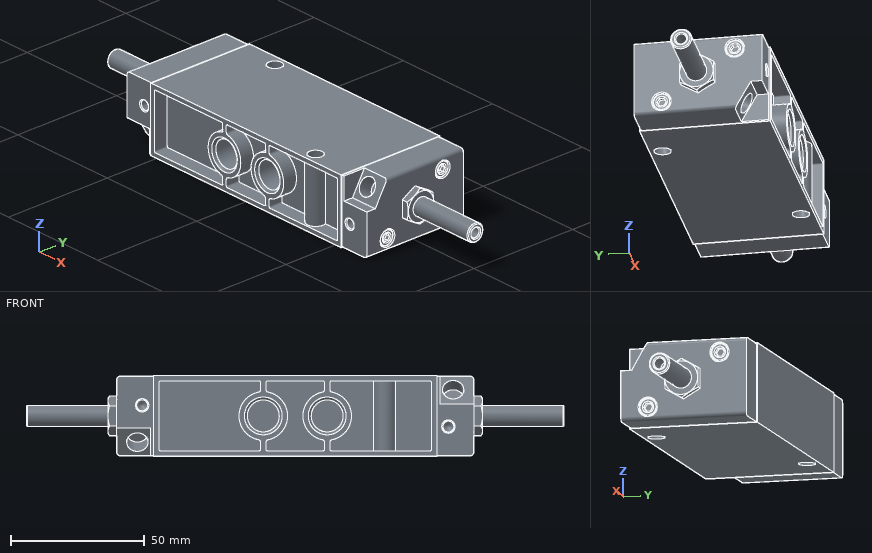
import cadquery as cq
import math

OVERALL_LENGTH = 202.0
X_DIRECTION = (1, 0, 0)
Y_DIRECTION = (0, 1, 0)
Z_DIRECTION = (0, 0, 1)

BODY_LENGTH = 106.6
BODY_WIDTH = 50.0
BODY_HEIGHT = 30.4
FRONT_FACE_Y = -BODY_WIDTH / 2

FRAME_WALL = 2.1
RECESS_DEPTH = 6.5

PORT_SPACING = 24.0
PORT_BOSS_DIAMETER = 18.24
PORT_BORE_DIAMETER = 12.0
PORT_MOUTH_DIAMETER = 14.2
PORT_DEPTH = 14.0
RIB_THICKNESS = 2.0
RECESS_CORNER_FILLET = 0.6
BOSS_RIB_FILLET = 1.0

MOUNT_HOLE_DIAMETER = 6.5
MOUNT_HOLE_X = 33.5
MOUNT_HOLE_Y = 20.0
MOUNT_COLUMN_DIAMETER = 8.2

CAP_FACE_X = 67.1
CAP_WIDTH = 49.0
CAP_HEIGHT = 30.0
CAP_EDGE_FILLET = 1.5

NOTCH_INNER_X = 54.4
NOTCH_LEDGE_Z = -4.5
NOTCH_TOP_Y = -20.2
SLOPE_FROM_VERTICAL = math.radians(30)
SLOPE_HOLE_X = 59.3
SLOPE_HOLE_Z = -9.85
SLOPE_HOLE_DIAMETER = 8.0
SLOPE_HOLE_DEPTH = 7.0

PILOT_DIAMETER = 4.13
PILOT_X = 57.5
PILOT_Z = 4.0
PILOT_DEPTH = 8.0
THREAD_MOUTH_DIAMETER = 5.0
DRILL_POINT_ANGLE = 118.0

SCREW_Y = 14.0
SCREW_Z = 9.8
SCREW_BORE_DIAMETER = 7.4
SCREW_BORE_DEPTH = 4.5
SCREW_HEAD_DIAMETER = 7.0
SCREW_HEAD_CHAMFER = 0.4
SCREW_HEAD_RECESS = 0.5
SOCKET_ACROSS_FLATS = 3.0
SOCKET_MOUTH_DIAMETER = 4.4
SOCKET_MOUTH_DEPTH = 0.3
SOCKET_DEPTH = 2.0

NUT_ACROSS_FLATS = 13.0
NUT_THICKNESS = 3.3
NUT_FACE_DIAMETER = 12.8
NUT_CHAMFER_ANGLE = math.radians(30)
STEM_DIAMETER = 8.0
STEM_HOLE_DEPTH = 10.0
STEM_TIP_CHAMFER = 0.45


def box_between(x_range, y_range, z_range):
    """Axis-aligned box given by its limits along X, Y and Z."""
    sizes = [high - low for low, high in (x_range, y_range, z_range)]
    corner = (x_range[0], y_range[0], z_range[0])
    return cq.Workplane("XY").box(*sizes, centered=False).translate(corner)


def rod(start, direction, diameter, length):
    """Cylinder starting at a point and running along a direction."""
    solid = cq.Solid.makeCylinder(diameter / 2, length, cq.Vector(*start), cq.Vector(*direction))
    return cq.Workplane(solid)


def cone(start, direction, diameter, end_diameter, length):
    """Cone frustum starting at a point and running along a direction."""
    radii = (diameter / 2, end_diameter / 2)
    solid = cq.Solid.makeCone(*radii, length, cq.Vector(*start), cq.Vector(*direction))
    return cq.Workplane(solid)


def mouthed_hole(start, direction, diameter, mouth_diameter, depth):
    """Flat-bottomed blind hole with a 45 degree mouth chamfer."""
    mouth = cone(start, direction, mouth_diameter, diameter, (mouth_diameter - diameter) / 2)
    return rod(start, direction, diameter, depth).union(mouth)


def threaded_hole(start, direction, depth):
    """Small threaded port with a mouth chamfer and a conical drill point."""
    point_length = PILOT_DIAMETER / 2 / math.tan(math.radians(DRILL_POINT_ANGLE / 2))
    bottom = [s + depth * d for s, d in zip(start, direction)]
    hole = mouthed_hole(start, direction, PILOT_DIAMETER, THREAD_MOUTH_DIAMETER, depth)
    return hole.union(cone(bottom, direction, PILOT_DIAMETER, 0, point_length))


def hex_prism(start, across_flats, length):
    """Hexagonal prism along +X with two corners pointing along Y."""
    across_corners = across_flats / math.cos(math.radians(30))
    return cq.Workplane("YZ", origin=start).polygon(6, across_corners).extrude(length)


def recess():
    """Space removed from the front face around the port bosses, ribs and mounting column."""
    half_length = BODY_LENGTH / 2 - FRAME_WALL
    half_height = BODY_HEIGHT / 2 - FRAME_WALL
    floor_y = FRONT_FACE_Y + RECESS_DEPTH
    space = box_between((-half_length, half_length), (FRONT_FACE_Y, floor_y), (-half_height, half_height))
    port_positions = (-PORT_SPACING / 2, PORT_SPACING / 2)
    for port_x in port_positions:
        rib_x = (port_x - RIB_THICKNESS / 2, port_x + RIB_THICKNESS / 2)
        space = space.cut(box_between(rib_x, (FRONT_FACE_Y, floor_y), (-half_height, half_height)))
    space = space.edges("|Y").fillet(RECESS_CORNER_FILLET)
    for port_x in port_positions:
        space = space.cut(rod((port_x, FRONT_FACE_Y, 0), Y_DIRECTION, PORT_BOSS_DIAMETER, RECESS_DEPTH))

    inner_half_height = half_height - RIB_THICKNESS
    rib_roots = cq.selectors.BoxSelector(
        (-half_length / 2, FRONT_FACE_Y, -inner_half_height), (half_length / 2, floor_y, inner_half_height)
    )
    space = space.edges("|Y").edges(rib_roots).fillet(BOSS_RIB_FILLET)
    column_start = (MOUNT_HOLE_X, -MOUNT_HOLE_Y, -BODY_HEIGHT / 2)
    return space.cut(rod(column_start, Z_DIRECTION, MOUNT_COLUMN_DIAMETER, BODY_HEIGHT))


def valve_body():
    """Rectangular body with its front recess, two ports and two vertical mounting holes."""
    body = cq.Workplane("XY").box(BODY_LENGTH, BODY_WIDTH, BODY_HEIGHT).cut(recess())
    for side in (-1, 1):
        port = (side * PORT_SPACING / 2, FRONT_FACE_Y, 0)
        body = body.cut(mouthed_hole(port, Y_DIRECTION, PORT_BORE_DIAMETER, PORT_MOUTH_DIAMETER, PORT_DEPTH))
        hole_start = (side * MOUNT_HOLE_X, -side * MOUNT_HOLE_Y, -BODY_HEIGHT / 2)
        body = body.cut(rod(hole_start, Z_DIRECTION, MOUNT_HOLE_DIAMETER, BODY_HEIGHT))
    return body


def corner_notch():
    """Sloped notch at the lower front corner of the -X cap, with its blind hole."""

    def slope_y(z):
        return NOTCH_TOP_Y + (NOTCH_LEDGE_Z - z) * math.tan(SLOPE_FROM_VERTICAL)

    bottom_z = -BODY_HEIGHT / 2
    notch = (
        cq.Workplane("YZ", origin=(-CAP_FACE_X, 0, 0))
        .moveTo(FRONT_FACE_Y, NOTCH_LEDGE_Z)
        .lineTo(NOTCH_TOP_Y, NOTCH_LEDGE_Z)
        .lineTo(slope_y(bottom_z), bottom_z)
        .lineTo(FRONT_FACE_Y, bottom_z)
        .close()
        .extrude(CAP_FACE_X - NOTCH_INNER_X)
    )
    inward = (0, math.cos(SLOPE_FROM_VERTICAL), math.sin(SLOPE_FROM_VERTICAL))
    hole_start = (-SLOPE_HOLE_X, slope_y(SLOPE_HOLE_Z), SLOPE_HOLE_Z)
    return notch.union(rod(hole_start, inward, SLOPE_HOLE_DIAMETER, SLOPE_HOLE_DEPTH))


def add_screw(cap, y, z):
    """Sink a socket-head screw into the end face of the -X cap."""
    head_x = -CAP_FACE_X + SCREW_HEAD_RECESS
    bore = rod((-CAP_FACE_X, y, z), X_DIRECTION, SCREW_BORE_DIAMETER, SCREW_BORE_DEPTH)
    head = rod((head_x, y, z), X_DIRECTION, SCREW_HEAD_DIAMETER, SCREW_BORE_DEPTH - SCREW_HEAD_RECESS)
    head = head.faces("<X").chamfer(SCREW_HEAD_CHAMFER)
    socket = hex_prism((head_x, y, z), SOCKET_ACROSS_FLATS, SOCKET_DEPTH)
    mouth = cone((head_x, y, z), X_DIRECTION, SOCKET_MOUTH_DIAMETER, SOCKET_ACROSS_FLATS, SOCKET_MOUTH_DEPTH)
    return cap.cut(bore).union(head.cut(socket).cut(mouth))


def end_cap():
    """Cap on the -X end of the body."""
    half_width = CAP_WIDTH / 2
    half_height = CAP_HEIGHT / 2
    cap = box_between((-CAP_FACE_X, -BODY_LENGTH / 2), (-half_width, half_width), (-half_height, half_height))
    cap = cap.faces("<X").edges("|Y").fillet(CAP_EDGE_FILLET)
    cap = cap.cut(corner_notch())
    cap = cap.cut(threaded_hole((-PILOT_X, -half_width, PILOT_Z), Y_DIRECTION, PILOT_DEPTH))
    for side in (-1, 1):
        cap = add_screw(cap, side * SCREW_Y, -side * SCREW_Z)
    return cap


def nut():
    """Hexagon nut on the -X cap, its outer corners chamfered by a cone."""
    outer_x = -CAP_FACE_X - NUT_THICKNESS
    prism = hex_prism((outer_x, 0, 0), NUT_ACROSS_FLATS, NUT_THICKNESS)
    prism = prism.rotate((0, 0, 0), X_DIRECTION, 90)
    base_diameter = NUT_FACE_DIAMETER + 2 * NUT_THICKNESS / math.tan(NUT_CHAMFER_ANGLE)
    envelope = cone((outer_x, 0, 0), X_DIRECTION, NUT_FACE_DIAMETER, base_diameter, NUT_THICKNESS)
    return prism.intersect(envelope)


def stem():
    """Round stem on the -X end, with a chamfered tip and a threaded hole in it."""
    tip = (-OVERALL_LENGTH / 2, 0, 0)
    shaft = rod(tip, X_DIRECTION, STEM_DIAMETER, OVERALL_LENGTH / 2 - CAP_FACE_X)
    shaft = shaft.faces("<X").chamfer(STEM_TIP_CHAMFER)
    return shaft.cut(threaded_hole(tip, X_DIRECTION, STEM_HOLE_DEPTH))


def at_other_end(shape):
    """Same shape turned half a revolution about Y, onto the +X end."""
    return shape.rotate((0, 0, 0), Y_DIRECTION, 180)


result = valve_body()
for fitting in (end_cap(), nut(), stem()):
    result = result.union(fitting).union(at_other_end(fitting))